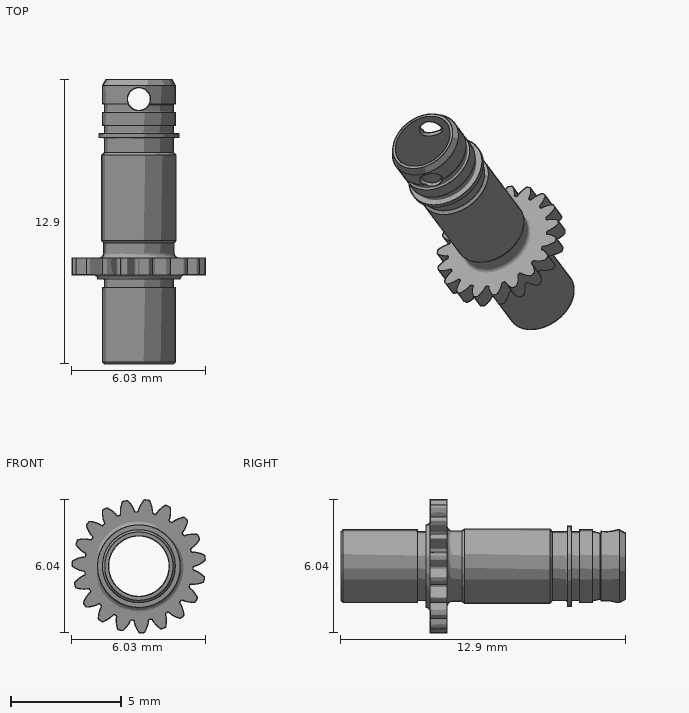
import cadquery as cq
import math

length = 12.9
bore_radius = 1.37

journal_radius = 1.65
neck_radius = 1.56
body_radius = 1.69
hub_neck_radius = 1.6
corner_fillet = 0.04

front_chamfer = 0.1
journal_end = 3.47

collar_radius = 1.87
collar_front = 3.86
gear_front = 4.05
gear_rear = 4.81
hub_fillet = 0.22

body_front = 5.5
body_rear = 9.58
body_chamfer = 0.12

flange_radius = 1.82
flange_front = 10.27
flange_rear = 10.45
flange_fillet = 0.08

band_front = 10.82
band_rear = 11.4
head_front = 11.79
head_chamfer_length = 0.28
head_chamfer_depth = 0.15

cross_hole_radius = 0.52
cross_hole_y = 12.01

tooth_count = 19
first_tooth_angle = 7.3
tip_diameter = 6.05
tip_radius = tip_diameter / 2
root_radius = 2.46
pitch_radius = 2.85
pitch_thickness = 0.44
flank_points = 6
foot_overlap = 0.13
tip_rounding = 0.08
root_rounding = 0.06


def shaft():
    """Solid of revolution with all bands, grooves, chamfers and groove fillets."""
    c = corner_fillet
    collar_fillet = gear_front - collar_front
    head_chamfer_start = length - head_chamfer_length
    profile = (
        cq.Workplane("XY")
        .moveTo(0, 0)
        .lineTo(journal_radius - front_chamfer, 0)
        .lineTo(journal_radius, front_chamfer)
        .lineTo(journal_radius, journal_end)
        .lineTo(neck_radius, journal_end)
        .lineTo(neck_radius, collar_front - c)
        .radiusArc((neck_radius + c, collar_front), c)
        .lineTo(collar_radius, collar_front)
        .radiusArc((collar_radius + collar_fillet, gear_front), collar_fillet)
        .lineTo(collar_radius + collar_fillet, gear_rear)
        .lineTo(hub_neck_radius + hub_fillet, gear_rear)
        .radiusArc((hub_neck_radius, gear_rear + hub_fillet), hub_fillet)
        .lineTo(hub_neck_radius, body_front)
        .lineTo(body_radius, body_front + body_chamfer)
        .lineTo(body_radius, body_rear - body_chamfer)
        .lineTo(neck_radius, body_rear)
        .lineTo(neck_radius, flange_front - flange_fillet)
        .radiusArc((neck_radius + flange_fillet, flange_front), flange_fillet)
        .lineTo(flange_radius, flange_front)
        .lineTo(flange_radius, flange_rear)
        .lineTo(neck_radius + c, flange_rear)
        .radiusArc((neck_radius, flange_rear + c), c)
        .lineTo(neck_radius, band_front)
        .lineTo(journal_radius, band_front)
        .lineTo(journal_radius, band_rear)
        .lineTo(neck_radius + c, band_rear)
        .radiusArc((neck_radius, band_rear + c), c)
        .lineTo(neck_radius, head_front - c)
        .radiusArc((neck_radius + c, head_front), c)
        .lineTo(journal_radius, head_front)
        .lineTo(journal_radius, head_chamfer_start)
        .lineTo(journal_radius - head_chamfer_depth, length)
        .lineTo(0, length)
        .close()
    )
    return profile.revolve(360, (0, 0, 0), (0, 1, 0))


def involute(radius):
    """Polar angle of the involute at a radius, in radians from its start on the root circle."""
    pressure_angle = math.acos(root_radius / radius)
    return math.tan(pressure_angle) - pressure_angle


def half_angle(radius):
    """Half of the angle that a tooth spans at a radius, in radians."""
    return pitch_thickness / (2 * pitch_radius) + involute(pitch_radius) - involute(radius)


def polar(radius, angle):
    """Point in the gear plane at a radius and an angle in radians."""
    return (radius * math.cos(angle), radius * math.sin(angle))


def tooth():
    """One tooth centred on +X, with its foot sunk into the gear disc."""
    sunk_radius = root_radius - foot_overlap
    foot_angle = half_angle(root_radius)
    flank_step = (tip_radius - root_radius) / (flank_points - 1)
    radii = [root_radius + i * flank_step for i in range(flank_points)]
    lower_flank = [polar(r, -half_angle(r)) for r in radii]
    upper_flank = [polar(r, half_angle(r)) for r in reversed(radii)]
    return (
        cq.Workplane("XZ", origin=(0, gear_rear, 0))
        .moveTo(*polar(sunk_radius, -foot_angle))
        .lineTo(*lower_flank[0])
        .spline(lower_flank[1:], includeCurrent=True)
        .threePointArc((tip_radius, 0), upper_flank[0])
        .spline(upper_flank[1:], includeCurrent=True)
        .lineTo(*polar(sunk_radius, foot_angle))
        .close()
        .extrude(gear_rear - gear_front)
        .edges("|Y")
        .edges(">X")
        .fillet(tip_rounding)
    )


def gear():
    """Gear disc with all its teeth and rounded tooth roots."""
    disc = (
        cq.Workplane("XZ", origin=(0, gear_rear, 0))
        .circle(root_radius)
        .extrude(gear_rear - gear_front)
    )
    first_tooth = tooth().val()
    teeth = []
    for i in range(tooth_count):
        angle = first_tooth_angle + i * 360 / tooth_count
        teeth.append(first_tooth.rotate((0, 0, 0), (0, 1, 0), -angle))
    rim = cq.Workplane(disc.val().fuse(*teeth).clean())
    root_edges = [
        edge
        for edge in rim.edges("|Y").vals()
        if math.hypot(edge.Center().x, edge.Center().z) < root_radius + root_rounding
    ]
    return rim.newObject(root_edges).fillet(root_rounding)


bore = cq.Workplane("XZ").circle(bore_radius).extrude(-length)
cross_hole = (
    cq.Workplane("XY", origin=(0, cross_hole_y, 0))
    .circle(cross_hole_radius)
    .extrude(journal_radius, both=True)
)

result = shaft().union(gear()).cut(bore).cut(cross_hole)